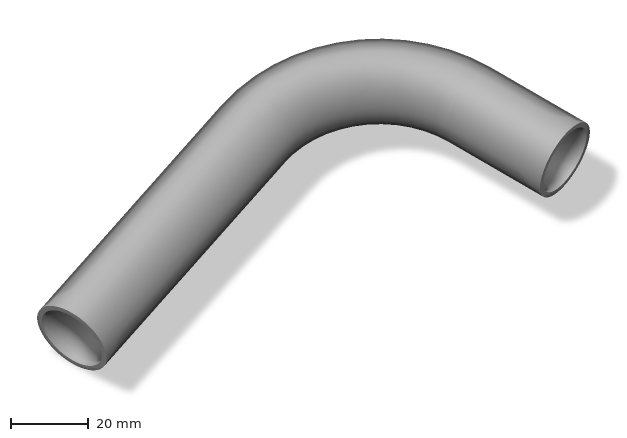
import cadquery as cq
import math

overall_width = 81.0
overall_length = 131.0

outer_diameter = 22.0
inner_diameter = 19.0
bend_radius = 40.0

bend_extent = bend_radius + outer_diameter / 2
long_leg = overall_length - bend_extent
short_leg = overall_width - bend_extent

arc_offset = bend_radius * math.sin(math.radians(45))
arc_middle = (bend_radius - arc_offset, long_leg + arc_offset)
arc_end = (bend_radius, long_leg + bend_radius)
centreline = (
    cq.Workplane("XY")
    .lineTo(0, long_leg)
    .threePointArc(arc_middle, arc_end)
    .lineTo(bend_radius + short_leg, long_leg + bend_radius)
)

result = (
    cq.Workplane("XZ")
    .circle(outer_diameter / 2)
    .circle(inner_diameter / 2)
    .sweep(centreline)
)